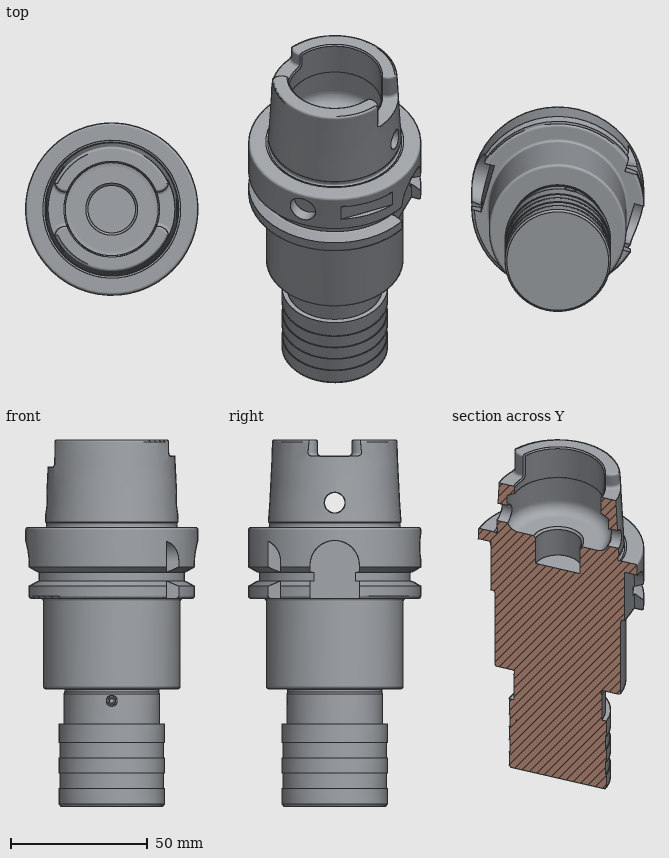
import cadquery as cq
import math

SHANK_TOP = 32.0
GAUGE_Z = 6.3
GAUGE_RADIUS = 24.05
TAPER = 1 / 9.98
CONE_START = 2.0
RELIEF_RADIUS = 23.9
RELIEF_CHAMFER = 0.4
RELIEF_FILLET = 0.6
FACE_GROOVE_RADIUS = 25.2
FACE_GROOVE_DEPTH = 0.25
RIM_FILLET = 0.9
BORE_CHAMFER = 0.5

FLANGE_RADIUS = 31.5
FLANGE_BOTTOM = -26.0
FLANGE_FILLET = 1.0
GRIP_CENTRE = -18.0
GRIP_RADIUS = 27.6
GRIP_MOUTH = 7.0
GRIP_THROAT = 3.6
GRIP_FLOOR_HEIGHT = 3.1
GRIP_FLANK_ANGLE = 30.0

BODY_RADIUS = 25.0
BODY_BOTTOM = -59.0
BODY_FILLET = 1.0
NECK_RADIUS = 17.5
NECK_TOP = -60.9
NECK_RELIEF_RADIUS = 17.2
NECK_RELIEF_STEP = 0.3
NECK_RELIEF_RAMP = 0.8
SLEEVE_TOP = -71.8
SLEEVE_RADIUS = 19.3
PART_BOTTOM = -102.0
END_CHAMFER_HEIGHT = 1.0
END_CHAMFER_DEPTH = 0.7
RING_PITCH = 5.6
RING_COUNT = 2
RING_DEPTH = 0.35

BORE_RADIUS = 17.0
BORE_LIP_Z = 18.8
CLAMP_RADIUS = 20.0
CLAMP_ANGLE = 30.0
FLOOR_FILLET = 4.4
FLOOR_Z = 2.3
SOCKET_RADIUS = 8.7
SOCKET_CHAMFER = 0.8
SOCKET_DEPTH = 12.0

SLOT_WIDTH = 12.54
LEFT_SLOT_FLOOR = SHANK_TOP - 10.0
RIGHT_SLOT_FLOOR = SHANK_TOP - 6.0
SLOT_FLARE_RADIUS = 4.0
SLOT_FLARE_END = 20.85
SLOT_FLOOR_FILLET = 1.3

KEYWAY_WIDTH = 18.0
KEYWAY_FLOOR = 26.55
KEYWAY_TOP = -4.8
NOTCH_WIDTH = 16.0
NOTCH_TOP = -4.3
NOTCH_FLOOR = 20.0
NOTCH_WALL = 19.8
PLATE_WIDTH = 20.6
PLATE_HEIGHT = 6.1
PLATE_CENTRE_Z = -7.0
CHIP_HOLE_DIAMETER = 10.0
CHIP_HOLE_DEPTH = 4.5
CHIP_HOLE_Z = -7.0
ACCESS_HOLE_DIAMETER = 7.5
ACCESS_HOLE_Z = 9.0
SCREW_Z = -63.4
SCREW_DIAMETER = 4.0
SCREW_STEP_COUNT = 3
SCREW_STEP_WIDTH = 0.55
SCREW_STEP_DEPTH = 1.0

OUTSIDE = 40.0


def cone_radius(z):
    return GAUGE_RADIUS - (z - GAUGE_Z) * TAPER / 2


def make_body():
    """Solid of revolution of the whole outside."""
    arc_mid = math.sqrt(0.5)
    relief_inset = RELIEF_FILLET * (1 - arc_mid)
    flank = (GRIP_MOUTH - GRIP_THROAT) / 2
    throat_radius = FLANGE_RADIUS - flank / math.tan(math.radians(GRIP_FLANK_ANGLE))
    grip_top = GRIP_CENTRE + GRIP_MOUTH / 2
    grip_bottom = GRIP_CENTRE - GRIP_MOUTH / 2
    edge = FLANGE_RADIUS - FLANGE_FILLET
    edge_mid = edge + FLANGE_FILLET * arc_mid
    edge_drop = FLANGE_FILLET * (1 - arc_mid)
    root_mid = BODY_RADIUS + BODY_FILLET * (1 - arc_mid)
    body_mid = BODY_RADIUS - BODY_FILLET * (1 - arc_mid)
    body_drop = BODY_FILLET * (1 - arc_mid)

    profile = (
        cq.Workplane("XZ")
        .moveTo(0, SHANK_TOP)
        .lineTo(cone_radius(SHANK_TOP), SHANK_TOP)
        .lineTo(cone_radius(CONE_START), CONE_START)
        .lineTo(RELIEF_RADIUS, CONE_START - RELIEF_CHAMFER)
        .lineTo(RELIEF_RADIUS, RELIEF_FILLET - FACE_GROOVE_DEPTH)
        .threePointArc(
            (RELIEF_RADIUS + relief_inset, relief_inset - FACE_GROOVE_DEPTH),
            (RELIEF_RADIUS + RELIEF_FILLET, -FACE_GROOVE_DEPTH),
        )
        .lineTo(FACE_GROOVE_RADIUS, 0)
        .lineTo(edge, 0)
        .threePointArc((edge_mid, -edge_drop), (FLANGE_RADIUS, -FLANGE_FILLET))
        .lineTo(FLANGE_RADIUS, grip_top)
        .lineTo(throat_radius, grip_top - flank)
        .lineTo(GRIP_RADIUS, GRIP_CENTRE + GRIP_FLOOR_HEIGHT / 2)
        .lineTo(GRIP_RADIUS, GRIP_CENTRE - GRIP_FLOOR_HEIGHT / 2)
        .lineTo(throat_radius, grip_bottom + flank)
        .lineTo(FLANGE_RADIUS, grip_bottom)
        .lineTo(FLANGE_RADIUS, FLANGE_BOTTOM + FLANGE_FILLET)
        .threePointArc((edge_mid, FLANGE_BOTTOM + edge_drop), (edge, FLANGE_BOTTOM))
        .lineTo(BODY_RADIUS + BODY_FILLET, FLANGE_BOTTOM)
        .threePointArc(
            (root_mid, FLANGE_BOTTOM - body_drop),
            (BODY_RADIUS, FLANGE_BOTTOM - BODY_FILLET),
        )
        .lineTo(BODY_RADIUS, BODY_BOTTOM + BODY_FILLET)
        .threePointArc(
            (body_mid, BODY_BOTTOM + body_drop),
            (BODY_RADIUS - BODY_FILLET, BODY_BOTTOM),
        )
        .lineTo(NECK_RADIUS, BODY_BOTTOM)
        .lineTo(NECK_RELIEF_RADIUS, BODY_BOTTOM - NECK_RELIEF_STEP)
        .lineTo(NECK_RELIEF_RADIUS, NECK_TOP + NECK_RELIEF_RAMP)
        .lineTo(NECK_RADIUS, NECK_TOP)
        .lineTo(NECK_RADIUS, SLEEVE_TOP)
        .lineTo(SLEEVE_RADIUS, SLEEVE_TOP)
        .lineTo(SLEEVE_RADIUS, PART_BOTTOM + END_CHAMFER_HEIGHT)
        .lineTo(SLEEVE_RADIUS - END_CHAMFER_DEPTH, PART_BOTTOM)
        .lineTo(0, PART_BOTTOM)
        .close()
    )
    return profile.revolve(360, (0, 0, 0), (0, 1, 0))


def sleeve_grooves():
    """Shallow ring grooves, alternating with lands of the same height."""
    grooves = cq.Workplane("XY")
    for index in range(RING_COUNT):
        bottom = PART_BOTTOM + END_CHAMFER_HEIGHT + (2 * index + 1) * RING_PITCH
        ring = (
            cq.Workplane("XY", origin=(0, 0, bottom))
            .circle(OUTSIDE)
            .circle(SLEEVE_RADIUS - RING_DEPTH)
            .extrude(RING_PITCH)
        )
        grooves = grooves.add(ring)
    return grooves.combine()


def shank_bore():
    """Bore with an undercut clamping shoulder and a chamfered socket below."""
    shoulder = (CLAMP_RADIUS - BORE_RADIUS) * math.tan(math.radians(CLAMP_ANGLE))
    inset = FLOOR_FILLET * (1 - math.sqrt(0.5))
    profile = (
        cq.Workplane("XZ")
        .moveTo(0, SHANK_TOP)
        .lineTo(BORE_RADIUS, SHANK_TOP)
        .lineTo(BORE_RADIUS, BORE_LIP_Z)
        .lineTo(CLAMP_RADIUS, BORE_LIP_Z - shoulder)
        .lineTo(CLAMP_RADIUS, FLOOR_Z + FLOOR_FILLET)
        .threePointArc(
            (CLAMP_RADIUS - inset, FLOOR_Z + inset),
            (CLAMP_RADIUS - FLOOR_FILLET, FLOOR_Z),
        )
        .lineTo(SOCKET_RADIUS + SOCKET_CHAMFER, FLOOR_Z)
        .lineTo(SOCKET_RADIUS, FLOOR_Z - SOCKET_CHAMFER)
        .lineTo(SOCKET_RADIUS, FLOOR_Z - SOCKET_DEPTH)
        .lineTo(0, FLOOR_Z - SOCKET_DEPTH)
        .close()
    )
    return profile.revolve(360, (0, 0, 0), (0, 1, 0))


def drive_slot(floor, side):
    """Slot on the +X (side=1) or -X (side=-1) rim, flared at its outer mouth."""
    half = SLOT_WIDTH / 2
    flare = SLOT_FLARE_RADIUS
    start = SLOT_FLARE_END - flare
    mid = flare * math.sqrt(0.5)
    outline = (
        cq.Workplane("XY", origin=(0, 0, floor))
        .moveTo(0, -half)
        .lineTo(start, -half)
        .threePointArc((start + mid, -half - flare + mid), (SLOT_FLARE_END, -half - flare))
        .lineTo(SLOT_FLARE_END, -OUTSIDE)
        .lineTo(OUTSIDE, -OUTSIDE)
        .lineTo(OUTSIDE, OUTSIDE)
        .lineTo(SLOT_FLARE_END, OUTSIDE)
        .lineTo(SLOT_FLARE_END, half + flare)
        .threePointArc((start + mid, half + flare - mid), (start, half))
        .lineTo(0, half)
        .close()
    )
    cutter = outline.extrude(OUTSIDE).faces("<Z").edges().fillet(SLOT_FLOOR_FILLET)
    if side < 0:
        cutter = cutter.rotate((0, 0, 0), (0, 0, 1), 180)
    return cutter


def is_bore_edge(edge):
    return edge.geomType() == "CIRCLE" and math.isclose(edge.radius(), BORE_RADIUS)


def round_rim(body):
    """Round the outer and slot edges of the shank end and chamfer its bore edges."""
    outer_edges = body.faces(">Z").edges().filter(lambda edge: not is_bore_edge(edge))
    body = outer_edges.fillet(RIM_FILLET)
    return body.faces(">Z").edges().filter(is_bore_edge).chamfer(BORE_CHAMFER)


def arched_cutter(centre_y, width, top, floor_x, side):
    """Round-topped cutter along X, open below the flange and outside floor_x."""
    radius = width / 2
    spring = top - radius
    outline = (
        cq.Workplane("YZ", origin=(side * floor_x, 0, 0))
        .moveTo(centre_y - radius, FLANGE_BOTTOM)
        .lineTo(centre_y - radius, spring)
        .threePointArc((centre_y, top), (centre_y + radius, spring))
        .lineTo(centre_y + radius, FLANGE_BOTTOM)
        .close()
    )
    return outline.extrude(side * OUTSIDE)


def name_plate_flat():
    """Shallow flat facing the (-X, +Y) diagonal, as wide as its chord."""
    distance = math.sqrt(FLANGE_RADIUS**2 - (PLATE_WIDTH / 2) ** 2)
    block = cq.Workplane("XY").box(OUTSIDE, OUTSIDE, PLATE_HEIGHT, centered=(False, True, True))
    block = block.translate((distance, 0, PLATE_CENTRE_Z))
    return block.rotate((0, 0, 0), (0, 0, 1), 135)


def chip_hole():
    """Blind data-carrier hole on the +Y side of the flange."""
    plane = cq.Plane(
        origin=(0, FLANGE_RADIUS - CHIP_HOLE_DEPTH, CHIP_HOLE_Z), xDir=(1, 0, 0), normal=(0, 1, 0)
    )
    return cq.Workplane(plane).circle(CHIP_HOLE_DIAMETER / 2).extrude(OUTSIDE)


def access_hole():
    """Cross hole through both shank walls."""
    plane = cq.Workplane("YZ", origin=(-OUTSIDE, 0, ACCESS_HOLE_Z))
    return plane.circle(ACCESS_HOLE_DIAMETER / 2).extrude(2 * OUTSIDE)


def screw_recess():
    """Stepped blind hole for the side screw on the -Y side of the neck."""
    recess = cq.Workplane("XZ")
    for step in range(SCREW_STEP_COUNT):
        radius = SCREW_DIAMETER / 2 - step * SCREW_STEP_WIDTH
        floor_y = -NECK_RADIUS + (step + 1) * SCREW_STEP_DEPTH
        drill = cq.Workplane("XZ", origin=(0, floor_y, SCREW_Z)).circle(radius).extrude(OUTSIDE)
        recess = recess.add(drill)
    return recess.combine()


result = make_body().cut(sleeve_grooves()).cut(shank_bore())
result = result.cut(drive_slot(LEFT_SLOT_FLOOR, -1)).cut(drive_slot(RIGHT_SLOT_FLOOR, 1))
result = round_rim(result)

for keyway_side in (-1, 1):
    result = result.cut(arched_cutter(0, KEYWAY_WIDTH, KEYWAY_TOP, KEYWAY_FLOOR, keyway_side))
notch_centre = -NOTCH_WALL - NOTCH_WIDTH / 2
result = result.cut(arched_cutter(notch_centre, NOTCH_WIDTH, NOTCH_TOP, NOTCH_FLOOR, 1))
result = result.cut(name_plate_flat()).cut(chip_hole())
result = result.cut(access_hole()).cut(screw_recess())